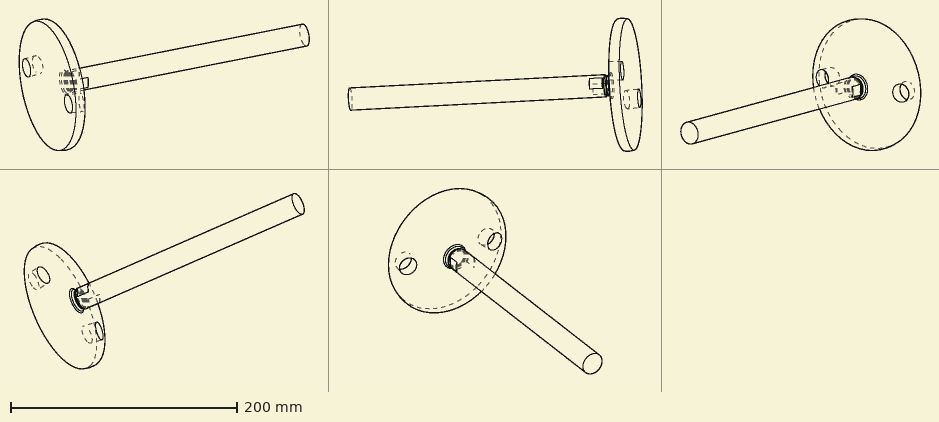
import cadquery as cq
import math

TOTAL_LENGTH = 252.0

FOOT_RADIUS = 118.0 / 2
UNDERSIDE_RADIUS = FOOT_RADIUS - 0.8
TAPER_HEIGHT = 3.8
RIM_HEIGHT = 6.8
RIM_ROUNDING = 3.0
CONE_ANGLE = math.radians(9.5)
CONE_TOP_RADIUS = 11.5
COLLAR_BASE_RADIUS = 10.3
COLLAR_BASE_HEIGHT = 18.5
COLLAR_RADIUS = 8.0
COLLAR_LIP_RADIUS = 9.0
COLLAR_LIP_HEIGHT = 0.5
COLLAR_TOP = 21.0

HOLE_DIAMETER = 16.5
HOLE_OFFSET = 42.8
HOLE_REACH = 50.5

STEM_RADIUS = 20.0 / 2
NECK_RADIUS = 7.8
FLANGE_BOTTOM = 22.7
FLAT_BOTTOM = 24.0
FLAT_TOP = 35.5
ACROSS_FLATS = 17.5


def make_foot():
    """Revolve the plate, its rounded rim, cone and lipped collar."""
    cone_start_radius = FOOT_RADIUS - RIM_ROUNDING
    cone_start_height = RIM_HEIGHT + RIM_ROUNDING
    rounding_middle = (
        cone_start_radius + RIM_ROUNDING * math.cos(math.pi / 4),
        RIM_HEIGHT + RIM_ROUNDING * math.sin(math.pi / 4),
    )
    cone_top = cone_start_height + (cone_start_radius - CONE_TOP_RADIUS) * math.tan(CONE_ANGLE)
    lip_bottom = COLLAR_TOP - COLLAR_LIP_HEIGHT
    sweep_middle = (
        COLLAR_BASE_RADIUS - (COLLAR_BASE_RADIUS - COLLAR_RADIUS) * math.sin(math.pi / 4),
        COLLAR_BASE_HEIGHT + (lip_bottom - COLLAR_BASE_HEIGHT) * (1 - math.cos(math.pi / 4)),
    )
    profile = (
        cq.Workplane("XY")
        .moveTo(0, 0)
        .lineTo(UNDERSIDE_RADIUS, 0)
        .lineTo(FOOT_RADIUS, TAPER_HEIGHT)
        .lineTo(FOOT_RADIUS, RIM_HEIGHT)
        .threePointArc(rounding_middle, (cone_start_radius, cone_start_height))
        .lineTo(CONE_TOP_RADIUS, cone_top)
        .lineTo(COLLAR_BASE_RADIUS, COLLAR_BASE_HEIGHT)
        .threePointArc(sweep_middle, (COLLAR_RADIUS, lip_bottom))
        .lineTo(COLLAR_LIP_RADIUS, lip_bottom)
        .lineTo(COLLAR_LIP_RADIUS, COLLAR_TOP)
        .lineTo(0, COLLAR_TOP)
        .close()
    )
    foot = profile.revolve(360, (0, 0, 0), (0, 1, 0))
    for side in (-1, 1):
        foot = foot.cut(make_hole_drill(side))
    return foot


def make_hole_drill(side):
    """Cylinder leaning outward by the cone angle, on the -X or +X side."""
    direction = cq.Vector(side * math.sin(CONE_ANGLE), math.cos(CONE_ANGLE), 0)
    start = cq.Vector(side * HOLE_OFFSET, 0, 0) - direction * HOLE_REACH
    drill = cq.Solid.makeCylinder(HOLE_DIAMETER / 2, 2 * HOLE_REACH, start, direction)
    return cq.Workplane("XY").add(drill)


def make_stem():
    """Revolve the rod with its narrower neck and cut two wrench flats."""
    stem = (
        cq.Workplane("XY")
        .moveTo(0, COLLAR_TOP)
        .lineTo(NECK_RADIUS, COLLAR_TOP)
        .lineTo(NECK_RADIUS, FLANGE_BOTTOM)
        .lineTo(STEM_RADIUS, FLANGE_BOTTOM)
        .lineTo(STEM_RADIUS, TOTAL_LENGTH)
        .lineTo(0, TOTAL_LENGTH)
        .close()
        .revolve(360, (0, 0, 0), (0, 1, 0))
    )
    flat_length = FLAT_TOP - FLAT_BOTTOM
    cutter_center = ACROSS_FLATS / 2 + STEM_RADIUS / 2
    for side in (-1, 1):
        cutter = cq.Workplane("XY").box(STEM_RADIUS, flat_length, 2 * STEM_RADIUS)
        cutter = cutter.translate((side * cutter_center, FLAT_BOTTOM + flat_length / 2, 0))
        stem = stem.cut(cutter)
    return stem


foot = make_foot()
stem = make_stem()

result = cq.Compound.makeCompound([foot.val(), stem.val()])